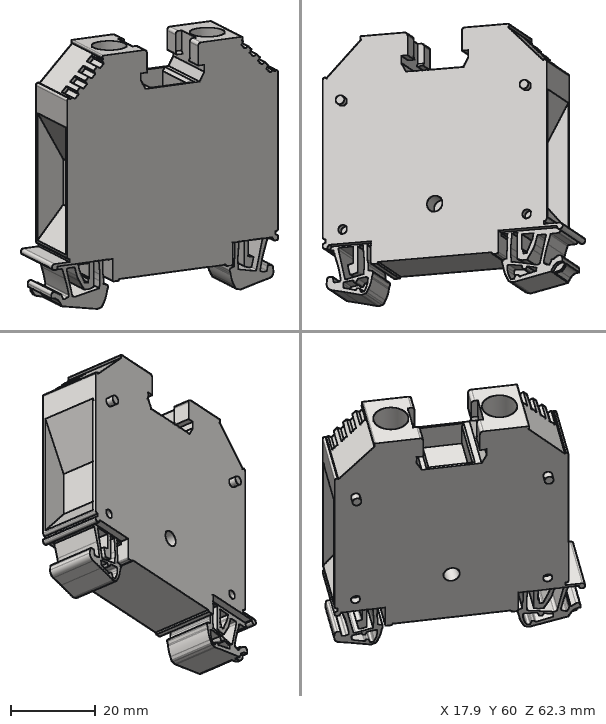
import cadquery as cq
import math


HOUSING_WIDTH = 16.0
HOUSING_HALF_LENGTH = 28.0
TOP_Z = 62.25
SHOULDER_Z = 52.7
SHOULDER_RIM_Y = 27.35
SHOULDER_RIM_Z = 52.95
SHOULDER_RADIUS = 0.6
TOP_HALF_LENGTH = 18.6
TOP_RIM_Z = 61.6
TOP_RIM_RADIUS = 0.3
TOP_NECK_Y = 18.4
TOP_NECK_Z = 61.4
SHELF_Z = 12.3
BASE_Z = 7.15
BASE_TOE_Z = 6.75
BASE_HALF_LENGTH = 15.92
BASE_TOE_INNER_Y = 14.4
BASE_TOE_BEVEL = 0.3
BASE_TOE_RADIUS = 0.35

LIP_GROOVE_Y = 27.3
LIP_GROOVE_Z = 13.65
LIP_GROOVE_RADIUS = 0.65
LIP_TOP_Z = 12.97
LIP_BOTTOM_Z = 11.5
LIP_END_Y = -32.0
LIP_BEAD_RADIUS = 0.77
LIP_BEAD_Y = LIP_END_Y + LIP_BEAD_RADIUS
LONG_LIP_INNER_Y = -30.95
LONG_LIP_ROOT_Y = -30.35
SHORT_LIP_TOP_Z = 12.5
SHORT_LIP_TOP_RADIUS = 0.2
SHORT_LIP_BOTTOM_Z = 11.4
SHORT_LIP_BOTTOM_RADIUS = 0.55
SHORT_LIP_INNER_Y = 26.95
SHORT_LIP_ROOT_Y = 26.4

SLOPE_FOOT_Y = 27.1
SLOPE_HEAD_Y = 18.75
SLOPE_FOOT_Z = SHOULDER_Z
SLOPE_HEAD_Z = SLOPE_FOOT_Z + SLOPE_FOOT_Y - SLOPE_HEAD_Y

SLOT_HALF_LENGTH = 6.78
SLOT_JAW_Z = 56.67
JAW_RADIUS = 0.8
UNDERCUT_HALF_LENGTH = 8.4
UNDERCUT_KNEE_Z = 54.95
SLOT_FLOOR_HALF_LENGTH = 7.15
SLOT_FLOOR_Z = SHOULDER_Z

NOTCH_X_MIN, NOTCH_X_MAX = 4.4, 11.7
NOTCH_TAPER = 0.55
NOTCH_TAPER_HEIGHT = 0.7

POCKET_X_MIN, POCKET_X_MAX = 0.67, 15.45
POCKET_DEPTH = 6.0
POCKET_BEVEL_DEPTH = 0.85
POCKET_MOUTH_Y = (-5.67, 5.97)
POCKET_FLOOR_HALF_LENGTH = 5.25

SHAFT_X = 8.6
SHAFT_Y = 13.0
SHAFT_DIAMETER = 8.3
SHAFT_DEPTH = 15.0

FUNNEL_X_MIN, FUNNEL_X_MAX = 0.87, 15.25
FUNNEL_DEPTH = 6.8
FUNNEL_MOUTH_Z = (14.7, 45.75)
FUNNEL_INNER_Z = (22.55, 33.7)

GROOVE_COUNT = 4
GROOVE_X_MIN = 10.75
GROOVE_PITCH_Z = 2.22
GROOVE_FIRST_Z = 53.76
GROOVE_MOUTH_WIDTH = 1.85
GROOVE_FLOOR_WIDTH = 1.4
GROOVE_DEPTH = 0.9

PIN_Y = 23.0
PIN_Z = 46.75
PIN_DIAMETER = 2.15
PIN_LENGTH = 1.9
SOCKET_Z = 15.75
SOCKET_DEPTH = 2.0
CENTRE_HOLE_Z = 20.1
CENTRE_HOLE_DIAMETER = 3.85
CENTRE_HOLE_DEPTH = 5.0

FOOT_X_MIN, FOOT_X_MAX = 2.0, 14.1
PLATE_Z = 11.88
PLATE_GUSSET = 0.35
SOLE_CORNER_Z = -0.02
CAVITY_DEPTH = 5.0
TOE_RIB_X_MIN, TOE_RIB_X_MAX = 3.35, 4.4
LEG_INNER_Y = 17.5
LEG_OUTER_Y = 18.45
FINGER_INNER_Y = 19.97
FINGER_OUTER_Y = 21.07


def corner(before, vertex, after):
    """Start, middle and end of the arc that rounds a vertex (y, z, radius)."""
    y, z, radius = vertex
    to_before = math.atan2(before[1] - z, before[0] - y)
    to_after = math.atan2(after[1] - z, after[0] - y)
    opening = math.acos(math.cos(to_after - to_before))
    bisector = math.atan2(math.sin(to_before) + math.sin(to_after), math.cos(to_before) + math.cos(to_after))
    setback = radius / math.tan(opening / 2)
    apex_gap = radius / math.sin(opening / 2) - radius

    def along(angle, distance):
        return (y + distance * math.cos(angle), z + distance * math.sin(angle))

    return along(to_before, setback), along(bisector, apex_gap), along(to_after, setback)


def prism(points, x_min, x_max):
    """Extrude a closed (y, z) outline along X; a third number on a point rounds that corner."""
    stretches = []
    for index, point in enumerate(points):
        if len(point) == 3:
            stretches.append(corner(points[index - 1], point, points[(index + 1) % len(points)]))
        else:
            stretches.append((point,))
    sketch = cq.Workplane("YZ", origin=(x_min, 0, 0)).moveTo(*stretches[0][-1])
    for stretch in stretches[1:] + stretches[:1]:
        sketch = sketch.lineTo(*stretch[0])
        if len(stretch) == 3:
            sketch = sketch.threePointArc(*stretch[1:])
    return sketch.close().extrude(x_max - x_min)


def mirrored(points):
    """The same outline points on the other side of Y = 0, in reverse order."""
    return [(-point[0], *point[1:]) for point in reversed(points)]


def make_housing():
    """Solid housing slab with its top slot, lips and base, before holes and pockets."""
    half_top = [
        (UNDERCUT_HALF_LENGTH, SLOT_JAW_Z),
        (SLOT_HALF_LENGTH, SLOT_JAW_Z),
        (SLOT_HALF_LENGTH, TOP_Z, JAW_RADIUS),
        (TOP_HALF_LENGTH, TOP_Z, TOP_RIM_RADIUS),
        (TOP_HALF_LENGTH, TOP_RIM_Z, TOP_RIM_RADIUS),
        (TOP_NECK_Y, TOP_NECK_Z),
        (SLOPE_HEAD_Y, SLOPE_HEAD_Z),
        (SLOPE_FOOT_Y, SLOPE_FOOT_Z),
        (SHOULDER_RIM_Y, SHOULDER_RIM_Z),
        (HOUSING_HALF_LENGTH, SHOULDER_RIM_Z, SHOULDER_RADIUS),
    ]
    half_slot = [
        (SLOT_FLOOR_HALF_LENGTH, SLOT_FLOOR_Z),
        (UNDERCUT_HALF_LENGTH, UNDERCUT_KNEE_Z),
    ]
    short_lip = [
        (HOUSING_HALF_LENGTH, LIP_GROOVE_Z, LIP_GROOVE_RADIUS),
        (LIP_GROOVE_Y, LIP_GROOVE_Z),
        (LIP_GROOVE_Y, LIP_TOP_Z),
        (HOUSING_HALF_LENGTH, SHORT_LIP_TOP_Z, SHORT_LIP_TOP_RADIUS),
        (HOUSING_HALF_LENGTH, SHORT_LIP_BOTTOM_Z, SHORT_LIP_BOTTOM_RADIUS),
        (SHORT_LIP_INNER_Y, SHORT_LIP_BOTTOM_Z),
        (SHORT_LIP_ROOT_Y, SHELF_Z),
    ]
    long_lip = [
        (LONG_LIP_ROOT_Y, SHELF_Z),
        (LONG_LIP_INNER_Y, LIP_BOTTOM_Z),
        (LIP_BEAD_Y, LIP_TOP_Z - LIP_BEAD_RADIUS),
        (LIP_BEAD_Y, LIP_TOP_Z),
        (-LIP_GROOVE_Y, LIP_TOP_Z),
        (-LIP_GROOVE_Y, LIP_GROOVE_Z),
        (-HOUSING_HALF_LENGTH, LIP_GROOVE_Z, LIP_GROOVE_RADIUS),
    ]
    half_base = [
        (BASE_HALF_LENGTH, SHELF_Z),
        (BASE_HALF_LENGTH, BASE_TOE_Z, BASE_TOE_RADIUS),
        (BASE_TOE_INNER_Y, BASE_TOE_Z),
        (BASE_TOE_INNER_Y - BASE_TOE_BEVEL, BASE_Z),
    ]
    outline = half_slot + half_top + short_lip + half_base
    outline += mirrored(half_base) + long_lip + mirrored(half_top) + mirrored(half_slot)
    bead = (
        cq.Workplane("YZ")
        .center(LIP_BEAD_Y, LIP_TOP_Z - LIP_BEAD_RADIUS)
        .circle(LIP_BEAD_RADIUS)
        .extrude(HOUSING_WIDTH)
    )
    return prism(outline, 0, HOUSING_WIDTH).union(bead)


def make_jaw_notch():
    """Cutter for the +Y jaw: straight sides that narrow just above the undercut."""
    taper_z = SLOT_JAW_Z + NOTCH_TAPER_HEIGHT
    return (
        cq.Workplane("XZ", origin=(0, UNDERCUT_HALF_LENGTH, 0))
        .moveTo(NOTCH_X_MIN, TOP_Z)
        .lineTo(NOTCH_X_MIN, taper_z)
        .lineTo(NOTCH_X_MIN + NOTCH_TAPER, SLOT_JAW_Z)
        .lineTo(NOTCH_X_MAX - NOTCH_TAPER, SLOT_JAW_Z)
        .lineTo(NOTCH_X_MAX, taper_z)
        .lineTo(NOTCH_X_MAX, TOP_Z)
        .close()
        .extrude(UNDERCUT_HALF_LENGTH - SLOT_HALF_LENGTH)
    )


def make_slot_pocket():
    """Cutter for the bevel-edged pocket below the label slot."""
    floor_z = SLOT_FLOOR_Z - POCKET_DEPTH
    bevel_z = SLOT_FLOOR_Z - POCKET_BEVEL_DEPTH
    outline = [
        (POCKET_MOUTH_Y[0], SLOT_FLOOR_Z),
        (-POCKET_FLOOR_HALF_LENGTH, bevel_z),
        (-POCKET_FLOOR_HALF_LENGTH, floor_z),
        (POCKET_FLOOR_HALF_LENGTH, floor_z),
        (POCKET_FLOOR_HALF_LENGTH, bevel_z),
        (POCKET_MOUTH_Y[1], SLOT_FLOOR_Z),
    ]
    return prism(outline, POCKET_X_MIN, POCKET_X_MAX)


def make_screw_shaft():
    """Cutter for the screwdriver shaft on the +Y side."""
    return (
        cq.Workplane("XY", origin=(SHAFT_X, SHAFT_Y, TOP_Z - SHAFT_DEPTH))
        .circle(SHAFT_DIAMETER / 2)
        .extrude(SHAFT_DEPTH)
    )


def make_wire_funnel():
    """Cutter for the tapering wire entry in the +Y end."""
    inner_y = HOUSING_HALF_LENGTH - FUNNEL_DEPTH
    outline = [
        (HOUSING_HALF_LENGTH, FUNNEL_MOUTH_Z[0]),
        (HOUSING_HALF_LENGTH, FUNNEL_MOUTH_Z[1]),
        (inner_y, FUNNEL_INNER_Z[1]),
        (inner_y, FUNNEL_INNER_Z[0]),
    ]
    return prism(outline, FUNNEL_X_MIN, FUNNEL_X_MAX)


def make_grip_grooves():
    """Cutters for the +Y flank: grooves with slightly flared sides, square to the flank."""
    outline = [
        (-GROOVE_MOUTH_WIDTH / 2, 0),
        (-GROOVE_FLOOR_WIDTH / 2, -GROOVE_DEPTH),
        (GROOVE_FLOOR_WIDTH / 2, -GROOVE_DEPTH),
        (GROOVE_MOUTH_WIDTH / 2, 0),
    ]
    groove = prism(outline, GROOVE_X_MIN, HOUSING_WIDTH).rotate((0, 0, 0), (1, 0, 0), -45)
    grooves = cq.Workplane("YZ")
    for index in range(GROOVE_COUNT):
        z = GROOVE_FIRST_Z + index * GROOVE_PITCH_Z
        y = SLOPE_FOOT_Y + SLOPE_FOOT_Z - z
        grooves = grooves.add(groove.translate((0, y, z)))
    return grooves.combine()


def cylinder_along_x(y, z, diameter, x_min, x_max):
    return (
        cq.Workplane("YZ", origin=(x_min, y, z))
        .circle(diameter / 2)
        .extrude(x_max - x_min)
    )


JAW_SIDE = [
    (17.8, 0.3, 0.6),
    (16.6, 2.5, 7.5),
    (16.37, 4.2),
    (16.05, 5.1, 0.3),
    (16.3, 5.55, 0.2),
    (17.27, 5.86),
    (17.27, 7.4, 2.0),
    (LEG_INNER_Y, 8.2, 2.0),
    (LEG_INNER_Y, PLATE_Z),
    (BASE_HALF_LENGTH + PLATE_GUSSET, PLATE_Z),
    (BASE_HALF_LENGTH, PLATE_Z - PLATE_GUSSET),
    (BASE_HALF_LENGTH, SHELF_Z),
]
LEG_WINDOW_SIDE = [
    (LEG_OUTER_Y, 5.0),
    (18.25, 7.6, 10.0),
    (18.6, PLATE_Z),
]
CAVITY_SIDE = [
    (20.5, 1.25, 0.1),
    (20.1, 1.7, 0.2),
    (19.5, 1.65, 0.2),
    (19.15, 0.75, 0.1),
    (18.35, 0.75, 0.2),
    (17.6, 2.0, 4.5),
    (17.35, 4.35, 0.5),
]


def make_foot(outline, windows, cavity):
    """Snap foot: an outline with through windows and a blind cavity in its jaw."""
    foot = prism(outline, FOOT_X_MIN, FOOT_X_MAX)
    for window in windows:
        foot = foot.cut(prism(window, FOOT_X_MIN, FOOT_X_MAX))
    return foot.cut(prism(cavity, FOOT_X_MIN, FOOT_X_MIN + CAVITY_DEPTH))


def make_hook_foot():
    """Foot on the +Y side, ending in an upturned hook and holding a hanging finger."""
    outline = JAW_SIDE + [
        (SHORT_LIP_ROOT_Y, SHELF_Z),
        (SHORT_LIP_INNER_Y, 11.45),
        (26.1, 11.45),
        (24.5, 6.2, 22.0),
        (24.2, 3.9, 0.15),
        (24.9, 3.6, 0.3),
        (25.95, 3.6, 0.2),
        (26.2, 5.0, 0.2),
        (27.55, 5.0, 0.6),
        (27.9, 2.1, 1.5),
        (23.7, 1.15),
        (19.0, SOLE_CORNER_Z, 0.6),
    ]
    window = LEG_WINDOW_SIDE + [
        (FINGER_INNER_Y, PLATE_Z),
        (FINGER_INNER_Y, 5.5, 0.3),
        (21.2, 5.15),
        (21.9, 5.15, 0.2),
        (22.45, 7.5),
        (21.4, 7.75, 0.2),
        (FINGER_OUTER_Y, 7.9),
        (FINGER_OUTER_Y, PLATE_Z),
        (24.85, PLATE_Z, 0.35),
        (23.1, 4.0, 0.4),
    ]
    cavity = CAVITY_SIDE + [
        (19.85, 4.0, 0.1),
        (20.4, 3.15, 0.25),
        (20.9, 3.2, 0.15),
        (21.15, 3.7),
        (23.55, 3.4, 0.4),
        (23.55, 2.1, 0.4),
    ]
    return make_foot(outline, [window], cavity)


def make_toe_foot():
    """Foot on the -Y side, with a closed V-shaped finger and a release toe hollowed below."""
    outline = mirrored(JAW_SIDE) + [
        (-19.0, SOLE_CORNER_Z, 0.6),
        (-28.65, 1.85),
        (-30.4, 2.3, 0.8),
        (-31.2, 3.4, 0.4),
        (-31.2, 6.2, 0.75),
        (-28.9, 4.75),
        (-28.55, 4.75),
        (-28.3, 4.0, 0.2),
        (-27.9, 3.4, 0.2),
        (-26.5, 4.0, 0.4),
        (-26.95, 6.5, 36.0),
        (-28.3, 10.95, 0.3),
        (-30.35, 11.0, 0.2),
        (LONG_LIP_INNER_Y, LIP_BOTTOM_Z),
        (LONG_LIP_ROOT_Y, SHELF_Z),
    ]
    leg_window = [(-y, *rest) for y, *rest in LEG_WINDOW_SIDE] + [
        (-FINGER_INNER_Y, PLATE_Z),
        (-FINGER_INNER_Y, 5.5, 0.3),
        (-21.1, 5.15),
        (-22.4, 5.15),
        (-24.2, 8.1, 5.0),
        (-25.0, 10.95, 0.4),
        (-27.2, 10.95, 0.4),
        (-25.5, 3.6, 0.7),
    ]
    finger_window = [
        (-FINGER_OUTER_Y, 11.45),
        (-24.0, 11.45),
        (-23.8, 10.2, 2.0),
        (-22.25, 6.75, 0.3),
        (-21.4, 6.75),
        (-21.35, 7.6),
        (-FINGER_OUTER_Y, 7.9),
    ]
    cavity = mirrored(CAVITY_SIDE) + [
        (-24.7, 2.25, 0.2),
        (-24.7, 3.1, 0.3),
        (-22.4, 3.55),
        (-22.1, 2.95, 0.2),
        (-21.4, 2.95, 0.25),
        (-20.9, 3.9),
    ]
    return make_foot(outline, [leg_window, finger_window], cavity).cut(make_toe_hollow())


def make_toe_hollow():
    """Space below the release toe on both sides of its narrow rib."""
    inner_y = -28.43
    beyond_toe_y = -31.3
    below_toe_z = 1.7
    outline = [
        (inner_y, below_toe_z),
        (inner_y, 2.0),
        (-29.6, 3.95, 2.3),
        (beyond_toe_y, 4.1),
        (beyond_toe_y, below_toe_z),
    ]
    hollow = prism(outline, FOOT_X_MIN, FOOT_X_MAX)
    return hollow.cut(prism(outline, TOE_RIB_X_MIN, TOE_RIB_X_MAX))


def cut_both_ends(body, cutter):
    """Cut with a +Y side cutter and its mirror image on the -Y side."""
    return body.cut(cutter).cut(cutter.mirror("XZ"))


result = make_housing()
for end_cutter in (make_jaw_notch(), make_screw_shaft(), make_wire_funnel(), make_grip_grooves()):
    result = cut_both_ends(result, end_cutter)
result = result.cut(make_slot_pocket())

centre_hole = cylinder_along_x(0, CENTRE_HOLE_Z, CENTRE_HOLE_DIAMETER, 0, CENTRE_HOLE_DEPTH)
result = result.cut(centre_hole)
for pin_y in (-PIN_Y, PIN_Y):
    result = result.union(cylinder_along_x(pin_y, PIN_Z, PIN_DIAMETER, -PIN_LENGTH, 0))
    result = result.cut(cylinder_along_x(pin_y, SOCKET_Z, PIN_DIAMETER, 0, SOCKET_DEPTH))

result = result.union(make_hook_foot()).union(make_toe_foot())